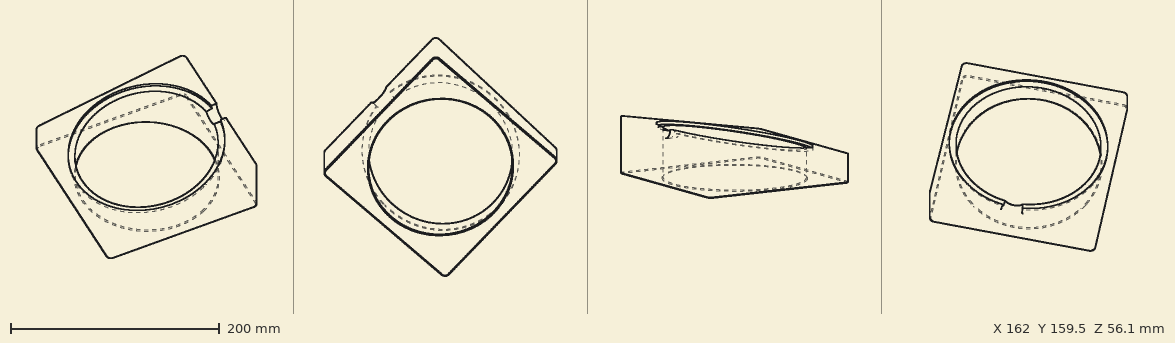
import cadquery as cq
import math

width = 162.0
slope_length = 162.0
tilt = 10.0
overall_height = 56.11

corner_radius = 5.0
top_rim_radius = 1.0
bottom_chamfer = 1.0

bore_diameter = 138.8
recess_diameter = 151.8
recess_depth = 3.0

notch_radius = 10.0
notch_axis_height = overall_height + 0.1
notch_mouth_radius = 1.0

tilt_slope = math.tan(math.radians(tilt))
tilt_cosine = math.cos(math.radians(tilt))
depth = slope_length * tilt_cosine
half_depth = depth / 2
crest_loss = top_rim_radius * (tilt_slope + 1 / tilt_cosine - 1)
high_height = overall_height + crest_loss
low_height = high_height - depth * tilt_slope


def wedge_prism(lowering=0.0):
    """Wedge with its inclined top lowered vertically by the given amount."""
    return (
        cq.Workplane("YZ")
        .moveTo(-half_depth, 0)
        .lineTo(half_depth, 0)
        .lineTo(half_depth, high_height - lowering)
        .lineTo(-half_depth, low_height - lowering)
        .close()
        .extrude(width / 2, both=True)
    )


def elliptical_column(diameter):
    """Upright column whose cut on the inclined face is a circle of this diameter."""
    return (
        cq.Workplane("XY")
        .ellipse(diameter / 2, diameter / 2 * tilt_cosine)
        .extrude(overall_height)
    )


def bored_block():
    """Wedge with rounded upright corners and top rim, bored through, its base edges all chamfered."""
    body = wedge_prism().edges("|Z").fillet(corner_radius)
    body = body.faces(">Z").edges().fillet(top_rim_radius)
    body = body.cut(elliptical_column(bore_diameter))
    return body.faces("<Z").edges().chamfer(bottom_chamfer)


def recess():
    """Shallow seat around the bore, its floor parallel to the inclined face."""
    return elliptical_column(recess_diameter).cut(wedge_prism(recess_depth))


def notch():
    """Horizontal half-round channel from the bore out through the high wall, with a rounded mouth."""
    rounding_start = half_depth - notch_mouth_radius
    return (
        cq.Workplane("XY", origin=(0, 0, notch_axis_height))
        .lineTo(notch_radius, 0)
        .lineTo(notch_radius, rounding_start)
        .radiusArc((notch_radius + notch_mouth_radius, half_depth), notch_mouth_radius)
        .lineTo(0, half_depth)
        .close()
        .revolve(360, (0, 0, 0), (0, 1, 0))
    )


result = bored_block().cut(recess()).cut(notch())